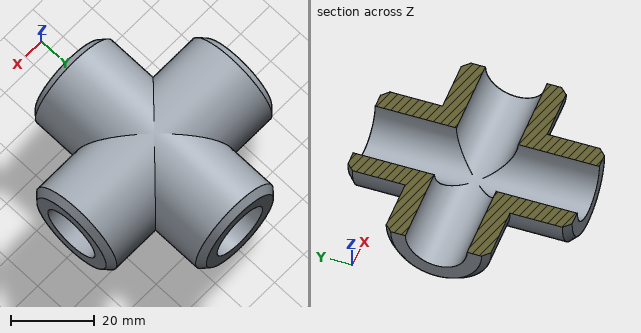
import cadquery as cq

length = 56.9
outer_diameter = 26.7
bore_diameter = 15.6
end_chamfer = 1.8


def centred_cylinder(plane, diameter):
    """Full-length cylinder along the plane's normal, centred on the origin."""
    return cq.Workplane(plane).circle(diameter / 2).extrude(length / 2, both=True)


def chamfered_arm_pair(plane):
    """Solid bar forming two opposite arms, chamfered at both end rims."""
    return centred_cylinder(plane, outer_diameter).edges("%CIRCLE").chamfer(end_chamfer)


run_planes = ("YZ", "XZ")

body = chamfered_arm_pair(run_planes[0]).union(chamfered_arm_pair(run_planes[1]))

for plane in run_planes:
    body = body.cut(centred_cylinder(plane, bore_diameter))

result = body